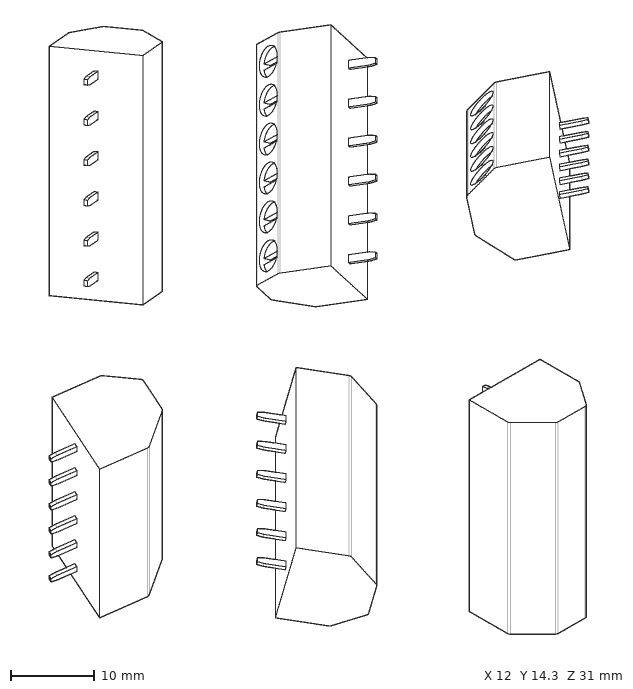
import cadquery as cq
import math

POLE_COUNT = 6
PITCH = 5.0
END_MARGIN = 3.0
HOUSING_WIDTH = 12.0
HOUSING_DEPTH = 10.8
HOUSING_HEIGHT = (POLE_COUNT - 1) * PITCH + 2 * END_MARGIN

SLOPE_DROP = 4.1
SCREW_SLOPE_ANGLE = math.radians(35)
PLAIN_SLOPE_ANGLE = math.radians(45)
SCREW_SLOPE_RUN = SLOPE_DROP * math.tan(SCREW_SLOPE_ANGLE)
PLAIN_SLOPE_RUN = SLOPE_DROP * math.tan(PLAIN_SLOPE_ANGLE)
CORNER_RADIUS = 0.5

SCREW_DIAMETER = 3.9
SCREW_RECESS = 0.65
SLOT_WIDTH = 0.8
SLOT_DEPTH = 0.9
SCREW_AXIS_DROP = 2.22

PIN_THICKNESS = 0.5
PIN_HEIGHT = 1.0
PIN_LENGTH = 3.5
PIN_TIP_HEIGHT = 0.7
PIN_TIP_LENGTH = 0.8

HALF_WIDTH = HOUSING_WIDTH / 2
POLE_HEIGHTS = [(i - (POLE_COUNT - 1) / 2) * PITCH for i in range(POLE_COUNT)]


def make_housing():
    """Prism with two sloped faces; all four slope corners are rounded."""
    shoulder_y = HOUSING_DEPTH - SLOPE_DROP
    base_corners = [
        (-HALF_WIDTH, 0),
        (HALF_WIDTH, 0),
    ]
    slope_corners = [
        (HALF_WIDTH, shoulder_y),
        (HALF_WIDTH - PLAIN_SLOPE_RUN, HOUSING_DEPTH),
        (-HALF_WIDTH + SCREW_SLOPE_RUN, HOUSING_DEPTH),
        (-HALF_WIDTH, shoulder_y),
    ]
    outline = base_corners + slope_corners
    prism = cq.Workplane("XY").polyline(outline).close().extrude(HOUSING_HEIGHT / 2, both=True)
    for x, y in slope_corners:
        corner_edge = cq.selectors.NearestToPointSelector((x, y, 0))
        prism = prism.edges("|Z").edges(corner_edge).fillet(CORNER_RADIUS)
    return prism


def make_screw_cutter(z):
    """Shallow round recess with a driver slot in its floor."""
    inward = (math.cos(SCREW_SLOPE_ANGLE), -math.sin(SCREW_SLOPE_ANGLE), 0)
    along_slope = (math.sin(SCREW_SLOPE_ANGLE), math.cos(SCREW_SLOPE_ANGLE), 0)
    axis_x = -HALF_WIDTH + (SLOPE_DROP - SCREW_AXIS_DROP) * math.tan(SCREW_SLOPE_ANGLE)
    axis_point = (axis_x, HOUSING_DEPTH - SCREW_AXIS_DROP, z)
    slope_face = cq.Workplane(cq.Plane(origin=axis_point, xDir=along_slope, normal=inward))

    recess = slope_face.circle(SCREW_DIAMETER / 2).extrude(SCREW_RECESS)
    full_depth = SCREW_RECESS + SLOT_DEPTH
    slot_bar = slope_face.rect(SCREW_DIAMETER, SLOT_WIDTH).extrude(full_depth)
    slot = slope_face.circle(SCREW_DIAMETER / 2).extrude(full_depth).intersect(slot_bar)
    return recess.union(slot)


def make_pin(z):
    """Flat pin standing out of the base, narrowed in height toward its tip."""
    half_height = PIN_HEIGHT / 2
    half_tip = PIN_TIP_HEIGHT / 2
    taper_start = -PIN_LENGTH + PIN_TIP_LENGTH
    profile = [
        (0, z - half_height),
        (taper_start, z - half_height),
        (-PIN_LENGTH, z - half_tip),
        (-PIN_LENGTH, z + half_tip),
        (taper_start, z + half_height),
        (0, z + half_height),
    ]
    return cq.Workplane("YZ").polyline(profile).close().extrude(PIN_THICKNESS / 2, both=True)


result = make_housing()
for pole_height in POLE_HEIGHTS:
    result = result.cut(make_screw_cutter(pole_height))
    result = result.union(make_pin(pole_height))